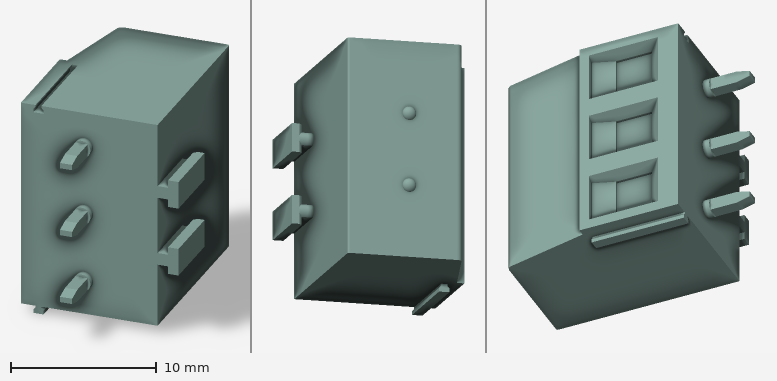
import cadquery as cq

POLES = 3
PITCH = 5.08

BODY_WIDTH = 10.05
BODY_DEPTH = 13.82
BODY_HEIGHT = POLES * PITCH
STEP_WIDTH = 0.53
STEP_Y = 7.47
SLOPE_END_X = 1.95
SLOPE_CORNER_RADIUS = 0.4
BACK_CORNER_RADIUS = 0.15

TONGUE_X = 1.3
TONGUE_LENGTH = 6.97
TONGUE_HEIGHT = 0.57
TONGUE_NECK_WIDTH = 0.42
TONGUE_HEAD_WIDTH = 0.75
TONGUE_NECK_HEIGHT = 0.12
TONGUE_HEAD_HEIGHT = 0.27

ENTRY_Y_MIN = 1.54
ENTRY_Y_MAX = 6.76
ENTRY_HEIGHT = 3.66
FUNNEL_DEPTH = 0.8
FUNNEL_SIDE_DEPTH = 0.5
SHAFT_Y_MIN = 2.34
SHAFT_Y_MAX = 5.08
SHAFT_HEIGHT = 2.75
SHAFT_DEPTH = 1.01

RAIL_LENGTH = 5.01
RAIL_REACH = 1.54
RAIL_HEAD_THICKNESS = 0.76
RAIL_HEAD_HEIGHT = 2.02
RAIL_NECK_HEIGHT = 0.88
LEAD_IN_LENGTH = 0.27
HEAD_BEVEL_DEPTH = 0.25

PIN_X = 4.65
COLLAR_DIAMETER = 1.3
COLLAR_LENGTH = 0.5
PIN_SIZE = 0.9
PIN_LENGTH = 3.47
PIN_TAPER_LENGTH = 0.97
PIN_TIP_HEIGHT = 0.4

STUD_X = 5.68
STUD_RADIUS = 0.5
STUD_PROTRUSION = 0.4

pole_heights = [(i + 0.5) * PITCH for i in range(POLES)]
joint_heights = [i * PITCH for i in range(1, POLES)]


def make_housing():
    housing = (
        cq.Workplane("XY")
        .polyline([
            (0, 0),
            (BODY_WIDTH, 0),
            (BODY_WIDTH, BODY_DEPTH),
            (SLOPE_END_X, BODY_DEPTH),
            (STEP_WIDTH, STEP_Y),
            (0, STEP_Y),
        ])
        .close()
        .extrude(BODY_HEIGHT)
    )
    housing = housing.edges("|Z").edges(">XY").fillet(BACK_CORNER_RADIUS)
    slope_corner = cq.selectors.NearestToPointSelector((SLOPE_END_X, BODY_DEPTH, BODY_HEIGHT / 2))
    return housing.edges("|Z").edges(slope_corner).fillet(SLOPE_CORNER_RADIUS)


def make_tongue(base_z):
    """Dovetail bar hanging down from base_z, also used as the cutter for the groove."""
    neck = TONGUE_NECK_WIDTH / 2
    head = TONGUE_HEAD_WIDTH / 2
    neck_z = base_z - TONGUE_NECK_HEIGHT
    bottom_z = base_z - TONGUE_HEIGHT
    shoulder_z = bottom_z + TONGUE_HEAD_HEIGHT
    return (
        cq.Workplane("XZ")
        .polyline([
            (TONGUE_X - neck, base_z),
            (TONGUE_X - neck, neck_z),
            (TONGUE_X - head, shoulder_z),
            (TONGUE_X - head, bottom_z),
            (TONGUE_X + head, bottom_z),
            (TONGUE_X + head, shoulder_z),
            (TONGUE_X + neck, neck_z),
            (TONGUE_X + neck, base_z),
        ])
        .close()
        .extrude(-TONGUE_LENGTH)
    )


def make_wire_entry(center_z):
    """Funnel narrowing on three sides, followed by a short straight shaft."""
    floor_profile = (
        cq.Workplane("XY", origin=(0, 0, center_z))
        .polyline([
            (0, ENTRY_Y_MIN),
            (FUNNEL_DEPTH, SHAFT_Y_MIN),
            (FUNNEL_DEPTH, SHAFT_Y_MAX),
            (FUNNEL_SIDE_DEPTH, ENTRY_Y_MAX),
            (0, ENTRY_Y_MAX),
        ])
        .close()
        .extrude(ENTRY_HEIGHT / 2, both=True)
    )
    height_taper = (
        cq.Workplane("XZ")
        .polyline([
            (0, center_z - ENTRY_HEIGHT / 2),
            (FUNNEL_DEPTH, center_z - SHAFT_HEIGHT / 2),
            (FUNNEL_DEPTH, center_z + SHAFT_HEIGHT / 2),
            (0, center_z + ENTRY_HEIGHT / 2),
        ])
        .close()
        .extrude(-STEP_Y)
    )
    shaft_width = SHAFT_Y_MAX - SHAFT_Y_MIN
    shaft = (
        cq.Workplane("XY", origin=(0, SHAFT_Y_MIN, center_z - SHAFT_HEIGHT / 2))
        .box(SHAFT_DEPTH, shaft_width, SHAFT_HEIGHT, centered=False)
    )
    return floor_profile.intersect(height_taper).union(shaft)


def make_rail(center_z):
    """T-shaped rail with a bevelled head and a rounded neck end that guide a mating block."""
    head_x = BODY_WIDTH + RAIL_REACH - RAIL_HEAD_THICKNESS
    end_x = BODY_WIDTH + RAIL_REACH
    lead_in_y = RAIL_LENGTH - LEAD_IN_LENGTH
    head = (
        cq.Workplane("XY", origin=(0, 0, center_z))
        .polyline([
            (head_x, 0),
            (end_x, 0),
            (end_x, RAIL_LENGTH),
            (head_x + HEAD_BEVEL_DEPTH, RAIL_LENGTH),
            (head_x, lead_in_y),
        ])
        .close()
        .extrude(RAIL_HEAD_HEIGHT / 2, both=True)
    )
    half_neck = RAIL_NECK_HEIGHT / 2
    neck = (
        cq.Workplane("YZ", origin=(BODY_WIDTH, 0, center_z))
        .moveTo(0, -half_neck)
        .lineTo(lead_in_y, -half_neck)
        .threePointArc((RAIL_LENGTH, 0), (lead_in_y, half_neck))
        .lineTo(0, half_neck)
        .close()
        .extrude(RAIL_REACH)
    )
    return head.union(neck)


def make_pin(center_z):
    collar = (
        cq.Workplane("XZ", origin=(PIN_X, 0, center_z))
        .circle(COLLAR_DIAMETER / 2)
        .extrude(COLLAR_LENGTH)
    )
    half = PIN_SIZE / 2
    tip = PIN_TIP_HEIGHT / 2
    taper_y = PIN_TAPER_LENGTH - PIN_LENGTH
    blade = (
        cq.Workplane("YZ", origin=(PIN_X, 0, center_z))
        .polyline([
            (0, -half),
            (taper_y, -half),
            (-PIN_LENGTH, -tip),
            (-PIN_LENGTH, tip),
            (taper_y, half),
            (0, half),
        ])
        .close()
        .extrude(half, both=True)
    )
    return collar.union(blade)


def make_stud(center_z):
    center_y = BODY_DEPTH + STUD_PROTRUSION - STUD_RADIUS
    return cq.Workplane("XY", origin=(STUD_X, center_y, center_z)).sphere(STUD_RADIUS)


result = make_housing().union(make_tongue(0)).cut(make_tongue(BODY_HEIGHT))

for pole_z in pole_heights:
    result = result.cut(make_wire_entry(pole_z))
    result = result.union(make_pin(pole_z))

for joint_z in joint_heights:
    result = result.union(make_rail(joint_z))
    result = result.union(make_stud(joint_z))